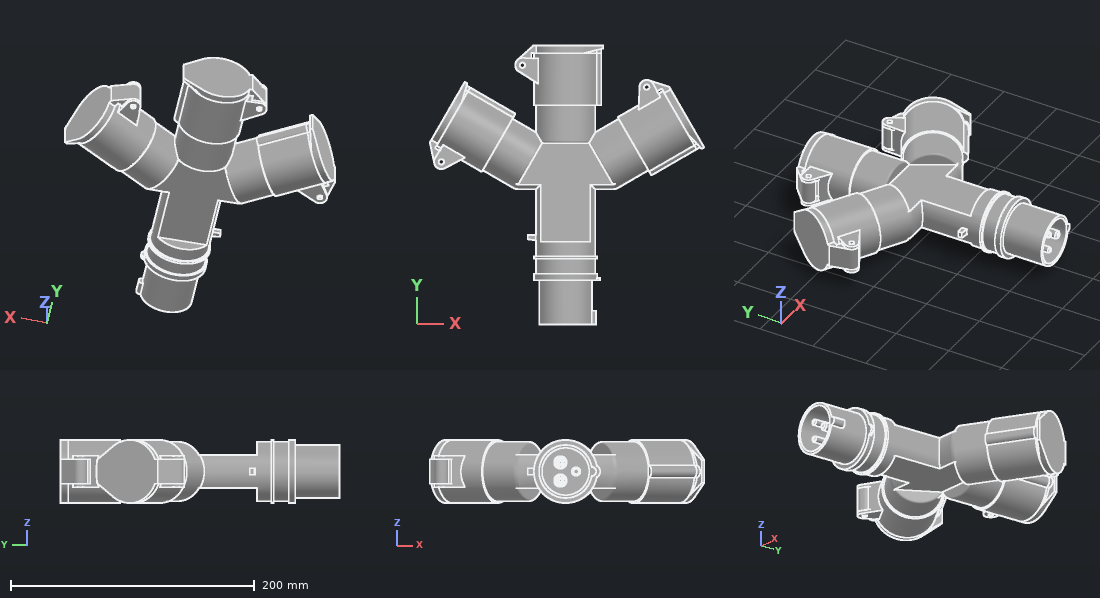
import cadquery as cq
import math


OVERALL_LENGTH = 229.0

SIDE_ANGLE_DEGREES = 60
SIDE_ANGLE = math.radians(SIDE_ANGLE_DEGREES)
ARM_ANGLES = (SIDE_ANGLE_DEGREES, 0, -SIDE_ANGLE_DEGREES)
ARM_RADIUS = 24.5
ARM_INNER_END = 33.4
ARM_EDGE_FILLET = 1.8

SOCKET_RADIUS = 26.0
SOCKET_START = 64.4
LID_OUTER_FACE = 113.5
LID_THICKNESS = 6.2
LID_INNER_FACE = LID_OUTER_FACE - LID_THICKNESS
KEYWAY_RADIUS = 5.3
KEYWAY_OFFSET = 24.0

HINGE_X = -35.4
HINGE_Y = 97.3
HINGE_RADIUS = 6.0
HINGE_HOLE_RADIUS = 2.1
LUG_WIDTH = 25.7
LUG_ROOT_X = -22.0
LUG_TOP_Y = 102.9
LUG_FOOT_X = -22.9
LUG_FOOT_Y = 82.3
TONGUE_WIDTH = 20.2
TONGUE_TOP_X = -26.5
SLOT_WALL_X = -28.1
SLOT_FLOOR_Y = 89.1

TAB_TIP_X = 31.1
TAB_TIP_WIDTH = 18.8
TAB_TIP_THICKNESS = 2.4

FLAT_THICKNESS = 27.2
CROSSBAR_AXIS_Y = ARM_INNER_END * math.cos(SIDE_ANGLE)
CROSSBAR_HALF_WIDTH = ARM_RADIUS * math.sin(SIDE_ANGLE)
CROSSBAR_LENGTH = 120.0
STUB_END = 45.0
BEND_FILLET = 6.5
FLAT_END_Y = -47.6

PLUG_END_Y = LID_OUTER_FACE - OVERALL_LENGTH
PLUG_RADIUS = 21.8
PLUG_BORE_RADIUS = 19.4
COLLAR_RADIUS = SOCKET_RADIUS
THIN_COLLAR_Y = -61.4
THIN_COLLAR_LENGTH = 2.0
WIDE_COLLAR_Y = -79.2
WIDE_COLLAR_LENGTH = 5.4
COLLAR_BUMP_RADIUS = 5.6
COLLAR_BUMP_OFFSET = 22.8
COLLAR_BUMP_LENGTH = 2.0
KEY_RADIUS = 3.8
KEY_OFFSET = 21.3
KEY_LENGTH = 11.4

LATCH_TIP_X = -31.1
LATCH_ROOT_X = -24.0
LATCH_WIDTH = 5.0
LATCH_TOP_Y = -41.9
LATCH_TIP_HEIGHT = 3.7
LATCH_BASE_HEIGHT = 4.7

PIN_CIRCLE_RADIUS = 8.6
PIN_TIP_DEPTH = 1.4
EARTH_PIN_ANGLE = 0
LIVE_PIN_ANGLES = (120, 240)
EARTH_PIN_RADIUS = 3.5
LIVE_PIN_RADIUS = 2.5
PIN_CHAMFER = 1.3
SLEEVE_RADIUS = 5.2
SLEEVE_TIP_DEPTH = 31.0


def cylinder(radius, start_y, end_y, x=0.0, z=0.0):
    """Cylinder parallel to Y between two Y positions."""
    return cq.Workplane("XZ", origin=(x, start_y, z)).circle(radius).extrude(start_y - end_y)


def slab(outline, width):
    """Closed XY outline extruded to a width centred on Z = 0."""
    return outline.extrude(width / 2, both=True)


def to_arm(shape, angle):
    """Swing a shape from the +Y arm round to the arm at the given angle."""
    return shape.rotate((0, 0, 0), (0, 0, 1), angle)


def tangent_point(x, y, side):
    """Point where a line from (x, y) touches the hinge circle, on the given side (+1 or -1)."""
    toward = math.atan2(y - HINGE_Y, x - HINGE_X)
    spread = math.acos(HINGE_RADIUS / math.hypot(x - HINGE_X, y - HINGE_Y))
    angle = toward + side * spread
    return (HINGE_X + HINGE_RADIUS * math.cos(angle), HINGE_Y + HINGE_RADIUS * math.sin(angle))


def hinge_hole():
    """Bore through the lugs and the knuckle."""
    return slab(cq.Workplane("XY").center(HINGE_X, HINGE_Y).circle(HINGE_HOLE_RADIUS), LUG_WIDTH)


def hinge_lugs():
    """Pair of lugs with a slot between them for the lid's tongue."""
    top = tangent_point(LUG_ROOT_X, LUG_TOP_Y, 1)
    foot = tangent_point(LUG_FOOT_X, LUG_FOOT_Y, -1)
    outline = (
        cq.Workplane("XY")
        .moveTo(LUG_ROOT_X, LUG_TOP_Y)
        .lineTo(*top)
        .threePointArc((HINGE_X - HINGE_RADIUS, HINGE_Y), foot)
        .lineTo(LUG_FOOT_X, LUG_FOOT_Y)
        .lineTo(LUG_ROOT_X, LUG_FOOT_Y)
        .close()
    )
    slot_mouth_x = HINGE_X - 2 * HINGE_RADIUS
    slot = cq.Workplane("XY").polyline([
        (SLOT_WALL_X, SLOT_FLOOR_Y),
        (SLOT_WALL_X, LID_OUTER_FACE),
        (slot_mouth_x, LID_OUTER_FACE),
        (slot_mouth_x, SLOT_FLOOR_Y),
    ]).close()
    return slab(outline, LUG_WIDTH).cut(slab(slot, TONGUE_WIDTH)).cut(hinge_hole())


def socket():
    """Arm, wider socket barrel, keyway rib and hinge lugs."""
    arm = cylinder(ARM_RADIUS, ARM_INNER_END, SOCKET_START)
    arm = arm.faces("<Y").edges().fillet(ARM_EDGE_FILLET)
    barrel = cylinder(SOCKET_RADIUS, SOCKET_START, LID_INNER_FACE)
    keyway = cylinder(KEYWAY_RADIUS, SOCKET_START, LID_INNER_FACE, x=KEYWAY_OFFSET)
    return arm.union(barrel).union(keyway).union(hinge_lugs())


def lid_tab():
    """Thumb tab tangent to the lid's rim, its underside sloping up to a thin tip."""
    half_tip = TAB_TIP_WIDTH / 2
    tip_angle = math.atan2(half_tip, TAB_TIP_X)
    rim_angle = tip_angle + math.acos(SOCKET_RADIUS / math.hypot(TAB_TIP_X, half_tip))
    rim_x = SOCKET_RADIUS * math.cos(rim_angle)
    rim_z = SOCKET_RADIUS * math.sin(rim_angle)
    plan = (
        cq.Workplane("XZ", origin=(0, LID_INNER_FACE, 0))
        .polyline([(rim_x, -rim_z), (TAB_TIP_X, -half_tip), (TAB_TIP_X, half_tip), (rim_x, rim_z)])
        .close()
        .extrude(-LID_THICKNESS)
    )
    profile = cq.Workplane("XY").polyline([
        (rim_x, LID_OUTER_FACE),
        (TAB_TIP_X, LID_OUTER_FACE),
        (TAB_TIP_X, LID_OUTER_FACE - TAB_TIP_THICKNESS),
        (rim_x, LID_INNER_FACE),
    ]).close()
    wedge = slab(profile, 2 * SOCKET_RADIUS)
    keyway_cap = cylinder(
        KEYWAY_RADIUS, LID_INNER_FACE, LID_OUTER_FACE - TAB_TIP_THICKNESS, x=KEYWAY_OFFSET
    )
    return plan.intersect(wedge).union(keyway_cap)


def lid_tongue():
    """Arm from the lid's rim down to the knuckle that sits between the lugs."""
    outline = (
        cq.Workplane("XY")
        .moveTo(0, LID_OUTER_FACE)
        .lineTo(TONGUE_TOP_X, LID_OUTER_FACE)
        .lineTo(*tangent_point(TONGUE_TOP_X, LID_OUTER_FACE, 1))
        .threePointArc((HINGE_X - HINGE_RADIUS, HINGE_Y), (HINGE_X, HINGE_Y - HINGE_RADIUS))
        .threePointArc(
            (HINGE_X + HINGE_RADIUS * math.sqrt(0.5), HINGE_Y - HINGE_RADIUS * math.sqrt(0.5)),
            (HINGE_X + HINGE_RADIUS, HINGE_Y),
        )
        .lineTo(SLOT_WALL_X, HINGE_Y)
        .lineTo(SLOT_WALL_X, LID_INNER_FACE)
        .lineTo(0, LID_INNER_FACE)
        .close()
    )
    return slab(outline, TONGUE_WIDTH).cut(hinge_hole())


def lid():
    """Closed lid: disc, thumb tab and hinge tongue."""
    disc = cylinder(SOCKET_RADIUS, LID_INNER_FACE, LID_OUTER_FACE)
    return disc.union(lid_tab()).union(lid_tongue())


def hub():
    """Flattened crossbar running into short flattened stubs of the arms.

    The crossbar's section is the ellipse that meets each side arm in the arm's own end circle.
    """
    flats = cq.Workplane("XY").box(CROSSBAR_LENGTH, CROSSBAR_LENGTH, FLAT_THICKNESS)
    bar = cq.Workplane("YZ", origin=(-CROSSBAR_LENGTH / 2, CROSSBAR_AXIS_Y, 0))
    bar = bar.ellipse(CROSSBAR_HALF_WIDTH, ARM_RADIUS).extrude(CROSSBAR_LENGTH)
    for angle in ARM_ANGLES:
        trim = cq.Workplane("XY").box(2 * CROSSBAR_LENGTH, CROSSBAR_LENGTH, 2 * ARM_RADIUS)
        trim = trim.translate((0, ARM_INNER_END + CROSSBAR_LENGTH / 2, 0))
        bar = bar.cut(to_arm(trim, angle))
    for angle in ARM_ANGLES:
        bar = bar.union(to_arm(cylinder(ARM_RADIUS, ARM_INNER_END, STUB_END), angle))
    bar = bar.intersect(flats)
    bend_x = ARM_INNER_END * math.sin(SIDE_ANGLE) + ARM_RADIUS * math.cos(SIDE_ANGLE)
    bend_y = ARM_INNER_END * math.cos(SIDE_ANGLE) - ARM_RADIUS * math.sin(SIDE_ANGLE)
    for x in (-bend_x, bend_x):
        bar = bar.edges(cq.selectors.NearestToPointSelector((x, bend_y, 0))).fillet(BEND_FILLET)
    return bar


def stem():
    """Round stem, flattened top and bottom where it runs into the hub."""
    flat_part = cylinder(ARM_RADIUS, FLAT_END_Y, CROSSBAR_AXIS_Y)
    flats = cq.Workplane("XY").box(2 * ARM_RADIUS, 4 * ARM_RADIUS, FLAT_THICKNESS)
    round_part = cylinder(ARM_RADIUS, WIDE_COLLAR_Y, FLAT_END_Y)
    return flat_part.intersect(flats).union(round_part)


def latch():
    """Nub on the stem with a sloping lower face."""
    outline = cq.Workplane("XY").polyline([
        (0, LATCH_TOP_Y),
        (LATCH_TIP_X, LATCH_TOP_Y),
        (LATCH_TIP_X, LATCH_TOP_Y - LATCH_TIP_HEIGHT),
        (LATCH_ROOT_X, LATCH_TOP_Y - LATCH_BASE_HEIGHT),
        (0, LATCH_TOP_Y - LATCH_BASE_HEIGHT),
    ]).close()
    return slab(outline, LATCH_WIDTH)


def collars():
    """Two rings around the stem; the wide one carries a small bump."""
    thin = cylinder(COLLAR_RADIUS, THIN_COLLAR_Y, THIN_COLLAR_Y + THIN_COLLAR_LENGTH)
    wide = cylinder(COLLAR_RADIUS, WIDE_COLLAR_Y, WIDE_COLLAR_Y + WIDE_COLLAR_LENGTH)
    bump = cylinder(
        COLLAR_BUMP_RADIUS, WIDE_COLLAR_Y, WIDE_COLLAR_Y + COLLAR_BUMP_LENGTH, x=COLLAR_BUMP_OFFSET
    )
    return thin.union(wide).union(bump)


def pin(radius, tip_depth, angle):
    """Round pin standing on the bore floor, chamfered at its tip."""
    x = PIN_CIRCLE_RADIUS * math.cos(math.radians(angle))
    z = PIN_CIRCLE_RADIUS * math.sin(math.radians(angle))
    body = cylinder(radius, PLUG_END_Y + tip_depth, WIDE_COLLAR_Y, x, z)
    return body.faces("<Y").edges().chamfer(PIN_CHAMFER)


def plug():
    """Hollow plug barrel with a polarising key and three contact pins."""
    barrel = cylinder(PLUG_RADIUS, PLUG_END_Y, WIDE_COLLAR_Y)
    key = cylinder(KEY_RADIUS, PLUG_END_Y, PLUG_END_Y + KEY_LENGTH, x=KEY_OFFSET)
    bore = cylinder(PLUG_BORE_RADIUS, PLUG_END_Y, WIDE_COLLAR_Y)
    body = barrel.union(key).cut(bore)
    body = body.union(pin(EARTH_PIN_RADIUS, PIN_TIP_DEPTH, EARTH_PIN_ANGLE))
    for angle in LIVE_PIN_ANGLES:
        body = body.union(pin(LIVE_PIN_RADIUS, PIN_TIP_DEPTH, angle))
        body = body.union(pin(SLEEVE_RADIUS, SLEEVE_TIP_DEPTH, angle))
    return body


housing = hub().union(stem()).union(latch()).union(collars()).union(plug())
for arm_angle in ARM_ANGLES:
    housing = housing.union(to_arm(socket(), arm_angle))

lids = [to_arm(lid(), arm_angle) for arm_angle in ARM_ANGLES]

result = cq.Compound.makeCompound([housing.val(), *[each.val() for each in lids]])